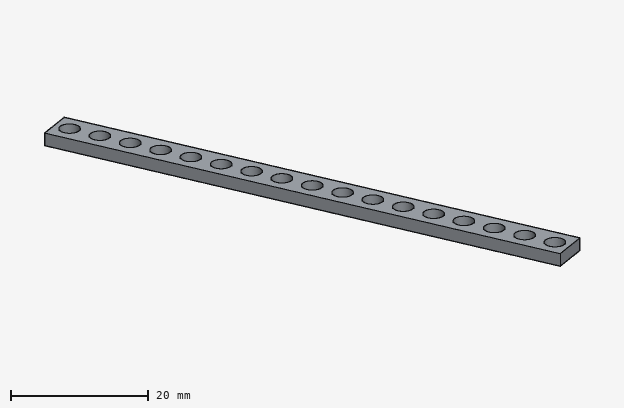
import cadquery as cq

length = 85.0
width = 6.0
thickness = 2.0

hole_count = 17
hole_pitch = length / hole_count
hole_gap = 1.9
hole_diameter = hole_pitch - hole_gap

bar = cq.Workplane("XY").box(length, width, thickness)

result = (
    bar.faces(">Z")
    .workplane()
    .rarray(hole_pitch, width, hole_count, 1)
    .hole(hole_diameter)
)